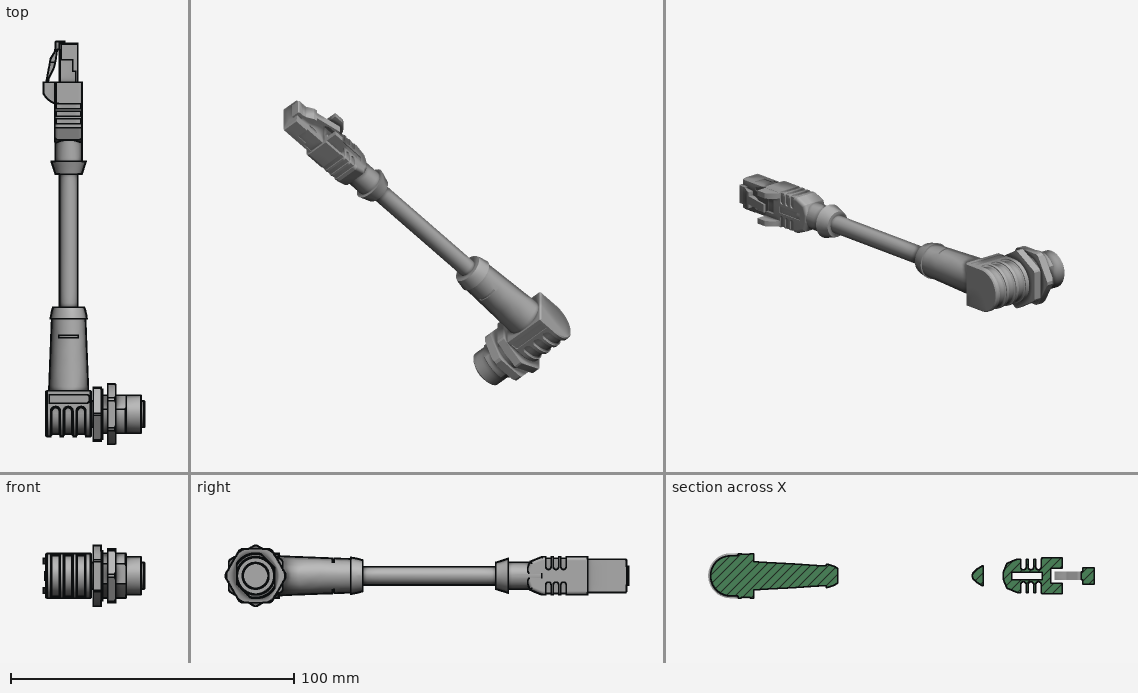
import math

import cadquery as cq


cable_dia = 6.5
elbow_end_y = 8.3
boot_base_dia = 14.0
boot_tip_dia = 12.0
elbow_collar_dia = 13.0
elbow_collar_tip_dia = 11.0
elbow_collar_bulge = 0.15
elbow_collar_y = 33.6
elbow_collar_end_y = 37.8
mark_groove_y = 27.4
mark_groove_width = 0.8
mark_groove_length = 6.8
mark_groove_depth = 0.4

elbow_radius = 7.95
elbow_half_length = 8.0
elbow_chamfer = 0.4
rib_groove_width = 3.4
rib_groove_depth = 0.8
rib_groove_floor_chamfer = 0.4
rib_groove_xs = (-4.6, -0.15, 4.4)
rib_groove_arch_y = 2.7
panel_x = 0.2
panel_length = 14.2
panel_width = 3.0
panel_y = 5.4
panel_depth = 0.3
panel_tip = 0.6

neck_dia = 9.4
flange_start_x = 8.65
flange_end_x = 11.5
washer_face_end_x = 12.0
washer_face_dia = 17.6
thread_dia = 16.0
thread_flat_distance = 13.5
thread_end_x = 20.3
thread_chamfer = 0.35
hex_across_flats = 19.0
flange_corner_dia = 21.5
nut_corner_dia = 21.3
nut_start_x = 13.75
nut_end_x = 16.7
nut_chamfer = 0.4
barrel_dia = 13.5
barrel_end_x = 25.7
barrel_chamfer = 0.3
insert_dia = 9.4
insert_end_x = 26.85
insert_chamfer = 0.3

plug_collar_start_y = 84.7
plug_collar_end_y = 89.2
plug_collar_dia = 12.3
plug_collar_tip_dia = 9.4
neck_boot_dia = 9.6
hood_nose_y = 95.4
hood_neck_y = 96.8
hood_taper_y = 101.0
hood_end_y = 117.1
hood_half_width = 6.75
hood_neck_half_width = 5.0
hood_nose_half_width = 1.5
hood_latch_x = -4.95
hood_plain_x = 4.75
hood_head_chamfer = 0.5
hood_edge_radius = 1.3
grip_width = 1.8
grip_pitch = 2.65
grip_middle_y = 105.95
grip_count = 3
grip_depth = 0.5
grip_inner_z = 2.2
label_length = 10.6
label_width = 2.5
label_middle_y = 104.6
label_depth = 0.3
lever_pocket_half_width = 2.6
lever_pocket_end_y = 113.0
lever_pocket_depth = 1.2

ear_reach_x = -8.95
ear_bend_y = 113.2
ear_curve_x = -7.6
ear_curve_y = 111.3
ear_root_y = 109.6
ear_inner_z = 4.2
ear_outer_z = 6.2

plug_end_y = 130.9
plug_half_width = 5.9
plug_half_depth = 3.3
plug_edge_chamfer = 0.7
plug_front_chamfer = 0.4
plug_step_y = 125.1
plug_step_end_y = 120.9
plug_step_x = 1.5
plug_step_outer_x = 2.5
plug_step_depth = 0.3
slot_dia = 1.5
slot_length = 3.9
slot_middle_y = 122.5
slot_middle_z = 3.45
slot_depth = 0.3

hook_end_y = 131.55
hook_start_y = 128.6
hook_outer_x = -4.7
hook_inner_x = -1.4
hook_half_width = 3.3
hook_inner_chamfer = 0.6
hook_outer_chamfer = 0.35
lever_half_width = 1.5
lever_root_half_width = 3.0
lever_root_y = 124.2


def turned_along_y(profile):
    """Solid of revolution about the Y axis from (radius, y) points."""
    return cq.Workplane("XY").polyline(profile).close().revolve(360, (0, 0), (0, 1))


def rod_along_x(dia, start, end):
    return cq.Workplane("YZ", origin=(start, 0, 0)).circle(dia / 2).extrude(end - start)


def box_between(x_range, y_range, z_range):
    size = [high - low for low, high in (x_range, y_range, z_range)]
    corner = (x_range[0], y_range[0], z_range[0])
    return cq.Workplane("XY").box(*size, centered=False).translate(corner)


def with_mirror_in_z(shape):
    return shape.union(shape.mirror("XY"))


def d_profile(radius, half_length):
    """D-shaped bar along X: half round toward -Y, flat-sided toward +Y."""
    return (
        cq.Workplane("YZ", origin=(-half_length, 0, 0))
        .moveTo(elbow_end_y, radius)
        .lineTo(0, radius)
        .threePointArc((-radius, 0), (0, -radius))
        .lineTo(elbow_end_y, -radius)
        .close()
        .extrude(2 * half_length)
    )


def make_elbow():
    body = d_profile(elbow_radius, elbow_half_length).faces("<X or >X").chamfer(elbow_chamfer)

    core = d_profile(elbow_radius - rib_groove_depth, 2 * elbow_half_length)
    tool_height = 3 * elbow_radius
    tool_end_y = -2 * elbow_radius
    for x in rib_groove_xs:
        half_width = rib_groove_width / 2
        arch_start_y = rib_groove_arch_y - half_width
        groove = (
            cq.Workplane("XY", origin=(x, 0, -tool_height / 2))
            .moveTo(-half_width, tool_end_y)
            .lineTo(-half_width, arch_start_y)
            .threePointArc((0, rib_groove_arch_y), (half_width, arch_start_y))
            .lineTo(half_width, tool_end_y)
            .close()
            .extrude(tool_height)
        )
        groove = groove.cut(core)
        floor_edges = cq.selectors.BoxSelector(
            (x - rib_groove_width, -elbow_radius, -elbow_radius),
            (x + rib_groove_width, elbow_radius, elbow_radius),
        )
        groove = groove.edges(floor_edges).edges("not |X").chamfer(rib_groove_floor_chamfer)
        body = body.cut(groove)

    half_length = panel_length / 2
    half_width = panel_width / 2
    panel = (
        cq.Workplane("XY", origin=(panel_x, panel_y, elbow_radius - panel_depth))
        .polyline([
            (-half_length, -half_width),
            (half_length - panel_tip, -half_width),
            (half_length, -half_width + panel_tip),
            (half_length, half_width - panel_tip),
            (half_length - panel_tip, half_width),
            (-half_length, half_width),
        ])
        .close()
        .extrude(panel_depth)
    )
    return body.cut(with_mirror_in_z(panel))


def make_elbow_boot():
    boot = turned_along_y([
        (0, 0),
        (boot_base_dia / 2, elbow_end_y),
        (boot_tip_dia / 2, elbow_collar_y),
        (0, elbow_collar_y),
    ])
    bulge_x = (elbow_collar_dia + elbow_collar_tip_dia) / 4 + elbow_collar_bulge
    collar = (
        cq.Workplane("XY")
        .moveTo(0, elbow_collar_y)
        .lineTo(elbow_collar_dia / 2, elbow_collar_y)
        .threePointArc(
            (bulge_x, (elbow_collar_y + elbow_collar_end_y) / 2),
            (elbow_collar_tip_dia / 2, elbow_collar_end_y),
        )
        .lineTo(0, elbow_collar_end_y)
        .close()
        .revolve(360, (0, 0), (0, 1))
    )
    slope = (boot_base_dia - boot_tip_dia) / 2 / (elbow_collar_y - elbow_end_y)
    radius_at_mark = boot_tip_dia / 2 + slope * (elbow_collar_y - mark_groove_y)
    core = cq.Workplane("XZ").circle(radius_at_mark - mark_groove_depth).extrude(-elbow_collar_y)
    mark = (
        cq.Workplane("XY", origin=(0, mark_groove_y, 0))
        .rect(mark_groove_length, mark_groove_width)
        .extrude(boot_base_dia)
        .cut(core)
    )
    return boot.cut(with_mirror_in_z(mark)).union(collar)


def hex_plate(start, end, turn):
    """Hexagon across X; turn 0 points a corner along Y, turn 90 points one along Z."""
    across_corners = hex_across_flats / math.cos(math.pi / 6)
    plate = cq.Workplane("YZ", origin=(start, 0, 0)).polygon(6, across_corners).extrude(end - start)
    return plate.rotate((0, 0, 0), (1, 0, 0), turn)


def make_connector():
    neck = rod_along_x(neck_dia, 0, flange_start_x)
    flange_round = rod_along_x(flange_corner_dia, flange_start_x, flange_end_x)
    flange = hex_plate(flange_start_x, flange_end_x, 90).intersect(flange_round)
    washer_face = rod_along_x(washer_face_dia, flange_end_x, washer_face_end_x)

    thread = rod_along_x(thread_dia, washer_face_end_x, thread_end_x).faces(">X").chamfer(thread_chamfer)
    for turn in (0, 45):
        flats = cq.Workplane("XY").box(2 * thread_end_x, thread_flat_distance, 2 * thread_dia)
        thread = thread.intersect(flats.rotate((0, 0, 0), (1, 0, 0), turn))

    nut_round = rod_along_x(nut_corner_dia, nut_start_x, nut_end_x).faces(">X").chamfer(nut_chamfer)
    nut = hex_plate(nut_start_x, nut_end_x, 0).intersect(nut_round)

    barrel = rod_along_x(barrel_dia, thread_end_x, barrel_end_x).faces(">X").chamfer(barrel_chamfer)
    insert = rod_along_x(insert_dia, barrel_end_x, insert_end_x).faces(">X").chamfer(insert_chamfer)
    connector = neck
    for piece in (flange, washer_face, thread, nut, barrel, insert):
        connector = connector.union(piece)
    return connector


def make_plug_collar():
    return turned_along_y([
        (0, plug_collar_start_y),
        (plug_collar_tip_dia / 2, plug_collar_start_y),
        (plug_collar_dia / 2, plug_collar_end_y),
        (neck_boot_dia / 2, plug_collar_end_y),
        (neck_boot_dia / 2, hood_taper_y),
        (0, hood_taper_y),
    ])


def make_hood():
    outline = [
        (hood_end_y, hood_half_width),
        (hood_taper_y, hood_half_width),
        (hood_neck_y, hood_neck_half_width),
        (hood_nose_y, hood_nose_half_width),
    ]
    outline += [(y, -z) for y, z in reversed(outline)]
    hood = (
        cq.Workplane("YZ", origin=(hood_latch_x, 0, 0))
        .polyline(outline)
        .close()
        .extrude(hood_plain_x - hood_latch_x)
    )
    hood = hood.faces("<X or >X").edges("not >Y").fillet(hood_edge_radius)

    head = box_between((hood_latch_x, 0), (ear_root_y, hood_end_y), (-hood_half_width, hood_half_width))
    hood = hood.union(head.edges("|Y and <X").chamfer(hood_head_chamfer))

    core_half_width = hood_half_width - grip_depth
    core = box_between(
        (hood_latch_x + grip_depth, hood_plain_x - grip_depth),
        (0, hood_end_y),
        (-core_half_width, core_half_width),
    )
    grip_centre_z = grip_inner_z + grip_width / 2
    for index in range(grip_count):
        y = grip_middle_y + (index - (grip_count - 1) / 2) * grip_pitch
        round_end = (
            cq.Workplane("YZ", origin=(0, y, grip_centre_z))
            .circle(grip_width / 2)
            .extrude(hood_end_y, both=True)
        )
        straight = box_between(
            (-hood_end_y, hood_end_y),
            (y - grip_width / 2, y + grip_width / 2),
            (grip_centre_z, 2 * hood_half_width),
        )
        grip = round_end.union(straight).cut(core)
        hood = hood.cut(with_mirror_in_z(grip))

    label = cq.Workplane("YZ", origin=(hood_latch_x, label_middle_y, 0))
    hood = hood.cut(label.rect(label_length, label_width).extrude(label_depth))

    lever_pocket = box_between(
        (hood_latch_x, hood_latch_x + lever_pocket_depth),
        (lever_pocket_end_y, hood_end_y),
        (-lever_pocket_half_width, lever_pocket_half_width),
    )
    return hood.cut(lever_pocket)


def make_ears():
    ear = (
        cq.Workplane("XY", origin=(0, 0, ear_inner_z))
        .moveTo(0, hood_end_y)
        .lineTo(ear_reach_x, hood_end_y)
        .lineTo(ear_reach_x, ear_bend_y)
        .threePointArc((ear_curve_x, ear_curve_y), (hood_latch_x, ear_root_y))
        .lineTo(0, ear_root_y)
        .close()
        .extrude(ear_outer_z - ear_inner_z)
    )
    return with_mirror_in_z(ear)


def make_plug():
    plug = box_between(
        (-plug_half_depth, plug_half_depth),
        (hood_taper_y, plug_end_y),
        (-plug_half_width, plug_half_width),
    )
    plug = plug.edges("|Y and <X").chamfer(plug_edge_chamfer)
    plug = plug.faces(">Y").edges("|X").chamfer(plug_front_chamfer)

    step = (
        cq.Workplane("XY", origin=(0, 0, plug_half_width - plug_step_depth))
        .polyline([
            (-plug_half_depth, plug_step_y),
            (plug_step_x, plug_step_y),
            (plug_step_x, plug_step_end_y),
            (plug_step_outer_x, plug_step_end_y),
            (plug_step_outer_x, hood_end_y),
            (-plug_half_depth, hood_end_y),
        ])
        .close()
        .extrude(plug_step_depth)
    )
    plug = plug.cut(with_mirror_in_z(step))

    slots = (
        cq.Workplane("YZ", origin=(-plug_half_depth, slot_middle_y, 0))
        .pushPoints([(0, -slot_middle_z), (0, slot_middle_z)])
        .slot2D(slot_length, slot_dia)
        .extrude(slot_depth)
    )
    return plug.cut(slots)


def make_latch():
    hook = box_between(
        (hook_outer_x, hook_inner_x),
        (hook_start_y, hook_end_y),
        (-hook_half_width, hook_half_width),
    )
    hook = hook.edges("|Z and >X and <Y").chamfer(hook_inner_chamfer)
    hook = hook.edges("|Z and <X and >Y").chamfer(hook_outer_chamfer)

    lever_outline = [
        (-4.7, 129.4),
        (-4.9, 127.9),
        (-6.4, 125.4),
        (-8.5, 114.2),
        (-7.7, 114.2),
        (-7.0, 118.4),
        (-5.1, 122.3),
        (-4.5, 125.0),
        (-3.9, 129.4),
    ]
    lever = cq.Workplane("XY").polyline(lever_outline).close().extrude(lever_half_width, both=True)
    wide_lever = cq.Workplane("XY").polyline(lever_outline).close().extrude(lever_root_half_width, both=True)
    root = wide_lever.intersect(
        box_between(
            (ear_reach_x, 0),
            (lever_root_y, plug_end_y),
            (-lever_root_half_width, lever_root_half_width),
        )
    )
    return hook.union(lever).union(root)


cable = cq.Workplane("XZ").circle(cable_dia / 2).extrude(-hood_taper_y)

result = cable
for component in (
    make_elbow(),
    make_elbow_boot(),
    make_connector(),
    make_plug_collar(),
    make_hood(),
    make_ears(),
    make_plug(),
    make_latch(),
):
    result = result.union(component)